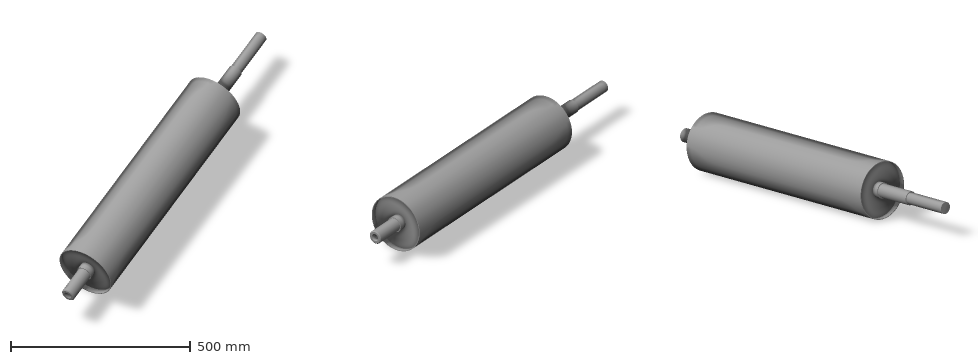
import cadquery as cq

TOTAL_LENGTH = 1050.0
DRUM_LENGTH = 700.0
FRONT_SHAFT_LENGTH = 96.0
FRONT_COLLAR_LENGTH = 6.0
REAR_COLLAR_LENGTH = 3.0
REAR_TIP_LENGTH = 140.0

DRUM_DIAMETER = 168.0
DRUM_BORE = 164.0
END_RECESS = 15.0
COLLAR_DIAMETER = 45.0
SHAFT_DIAMETER = 40.0
REAR_TIP_DIAMETER = 35.0
SHAFT_END_CHAMFER = 2.6

CENTRE_MOUTH_DIAMETER = 22.0
CENTRE_GUARD_DIAMETER = 17.0
CENTRE_DRILL_DIAMETER = 14.0
CENTRE_CONE_DEPTH = 4.0
CENTRE_GUARD_DEPTH = 9.0
CENTRE_DRILL_DEPTH = 42.0
DRILL_POINT_DEPTH = 4.0

front_end = -TOTAL_LENGTH / 2
rear_end = TOTAL_LENGTH / 2
drum_front = front_end + FRONT_SHAFT_LENGTH
drum_rear = drum_front + DRUM_LENGTH
rear_step = rear_end - REAR_TIP_LENGTH


def cylinder(diameter, start, end):
    """Solid cylinder on the Y axis between two Y positions."""
    plane = cq.Workplane("XZ", origin=(0, start, 0))
    return plane.circle(diameter / 2).extrude(start - end)


def make_drum():
    """Drum with a shallow recess inside the rim at each end."""
    drum = cylinder(DRUM_DIAMETER, drum_front, drum_rear)
    drum = drum.cut(cylinder(DRUM_BORE, drum_front, drum_front + END_RECESS))
    return drum.cut(cylinder(DRUM_BORE, drum_rear - END_RECESS, drum_rear))


def make_shaft():
    """Stepped shaft with a collar against each end of the drum."""
    shaft = cylinder(SHAFT_DIAMETER, front_end, rear_step)
    shaft = shaft.faces("<Y").chamfer(SHAFT_END_CHAMFER)
    collar_front = drum_front - FRONT_COLLAR_LENGTH
    collar_rear = drum_rear + REAR_COLLAR_LENGTH
    shaft = shaft.union(cylinder(COLLAR_DIAMETER, collar_front, collar_rear))
    return shaft.union(cylinder(REAR_TIP_DIAMETER, rear_step, rear_end))


def make_centre_hole():
    """Half profile of the conical mouth, guard bore and pointed drilled hole, turned about Y."""
    cone_end = front_end + CENTRE_CONE_DEPTH
    guard_end = front_end + CENTRE_GUARD_DEPTH
    drill_end = front_end + CENTRE_DRILL_DEPTH
    profile = [
        (0, front_end),
        (CENTRE_MOUTH_DIAMETER / 2, front_end),
        (CENTRE_GUARD_DIAMETER / 2, cone_end),
        (CENTRE_GUARD_DIAMETER / 2, guard_end),
        (CENTRE_DRILL_DIAMETER / 2, guard_end),
        (CENTRE_DRILL_DIAMETER / 2, drill_end),
        (0, drill_end + DRILL_POINT_DEPTH),
    ]
    return cq.Workplane("XY").polyline(profile).close().revolve(360, (0, 0), (0, 1))


result = make_drum().union(make_shaft()).cut(make_centre_hole())